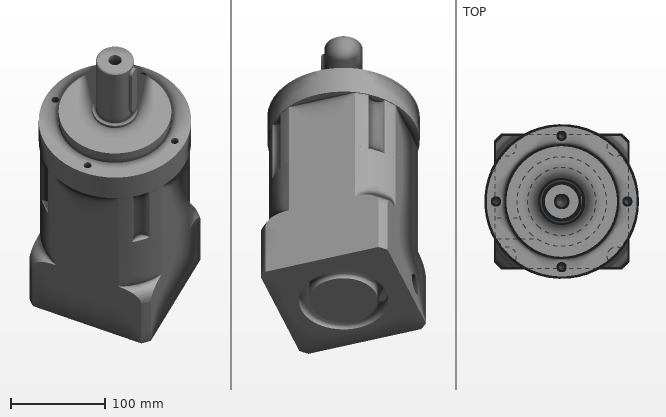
import cadquery as cq
import math

adapter_top = 95.7
ring_top = 148.0
flange_bottom = 222.0
flange_top = 255.2
pilot_top = 270.0
collar_top = 273.5
shaft_top = 352.0

body_width = 142.0
body_corner_diameter = 159.8

base_corner_diameter = 190.0
shoulder_height = 78.5
shoulder_radius = (base_corner_diameter - body_corner_diameter) / 2
clamp_hub_diameter = 72.5
clamp_pocket_diameter = 95.0
clamp_pocket_depth = 63.5
access_hole_diameter = 22.5
access_hole_y = -28.5
access_hole_z = 26.5

flange_diameter = 162.0
pilot_diameter = 119.7
groove_radius = 10.0
groove_offset = 58.0
flange_hole_diameter = 8.5
flange_hole_depth = 20.0
flange_hole_circle_radius = 69.7

shaft_diameter = 40.0
collar_diameter = 48.0
shaft_chamfer = 1.0
center_hole_diameter = 14.0
center_hole_depth = 28.0
key_width = 12.3
key_length = 65.0
key_bottom = 282.0
key_face_x = 23.0

drill_tip_angle = 118


def turned_square(bottom, top):
    """A square bar whose corners are cut back to a cylinder."""
    height = top - bottom
    square = cq.Workplane("XY").workplane(offset=bottom).rect(body_width, body_width).extrude(height)
    cylinder = cq.Workplane("XY").workplane(offset=bottom).circle(body_corner_diameter / 2).extrude(height)
    return square.intersect(cylinder)


def drilled_hole(diameter, depth):
    """A drill-shaped cutter: its mouth is at the origin and its conical tip points down."""
    radius = diameter / 2
    tip_height = radius / math.tan(math.radians(drill_tip_angle / 2))
    return (
        cq.Workplane("XZ")
        .moveTo(0, 0)
        .lineTo(radius, 0)
        .lineTo(radius, -depth)
        .lineTo(0, -depth - tip_height)
        .close()
        .revolve(360, (0, 0), (0, 1))
    )


def make_adapter():
    """Wide base, rounded over at its corners, with a neck that matches the ring gear."""
    base_radius = base_corner_diameter / 2
    neck_radius = body_corner_diameter / 2
    base_profile = (
        cq.Workplane("XZ")
        .moveTo(0, 0)
        .lineTo(base_radius, 0)
        .lineTo(base_radius, shoulder_height - shoulder_radius)
        .radiusArc((neck_radius, shoulder_height), -shoulder_radius)
        .lineTo(neck_radius, adapter_top)
        .lineTo(0, adapter_top)
        .close()
    )
    square = cq.Workplane("XY").rect(body_width, body_width).extrude(adapter_top)
    adapter = base_profile.revolve(360, (0, 0), (0, 1)).intersect(square)

    clamp_pocket = (
        cq.Workplane("XY")
        .circle(clamp_pocket_diameter / 2)
        .circle(clamp_hub_diameter / 2)
        .extrude(clamp_pocket_depth)
    )
    clamp_hub = cq.Workplane("XY").circle(clamp_hub_diameter / 2).extrude(clamp_pocket_depth)
    access_hole = (
        cq.Workplane("YZ")
        .workplane(offset=-body_width / 2)
        .center(access_hole_y, access_hole_z)
        .circle(access_hole_diameter / 2)
        .extrude(body_width / 2)
        .cut(clamp_hub)
    )
    return adapter.cut(clamp_pocket).cut(access_hole)


def make_ring_gear():
    """Plain middle section between the adapter and the housing."""
    return turned_square(adapter_top, ring_top)


def make_housing():
    """Grooved body with a round flange and a centring pilot on top."""
    housing = turned_square(ring_top, flange_bottom)
    grooves = (
        cq.Workplane("XY")
        .workplane(offset=ring_top)
        .rect(2 * groove_offset, 2 * groove_offset, forConstruction=True)
        .vertices()
        .circle(groove_radius)
        .extrude(flange_bottom - ring_top)
    )
    flange = (
        cq.Workplane("XY")
        .workplane(offset=flange_bottom)
        .circle(flange_diameter / 2)
        .extrude(flange_top - flange_bottom)
    )
    pilot = (
        cq.Workplane("XY")
        .workplane(offset=flange_top)
        .circle(pilot_diameter / 2)
        .extrude(pilot_top - flange_top)
    )
    housing = housing.cut(grooves).union(flange).union(pilot)

    hole = drilled_hole(flange_hole_diameter, flange_hole_depth)
    hole = hole.translate((flange_hole_circle_radius, 0, flange_top))
    for angle in (0, 90, 180, 270):
        housing = housing.cut(hole.rotate((0, 0, 0), (0, 0, 1), angle))
    return housing


def make_shaft():
    """Output shaft with a collar at its foot, a key on +X and a drilled centre."""
    collar = (
        cq.Workplane("XY")
        .workplane(offset=pilot_top)
        .circle(collar_diameter / 2)
        .extrude(collar_top - pilot_top)
    )
    shaft = (
        cq.Workplane("XY")
        .workplane(offset=collar_top)
        .circle(shaft_diameter / 2)
        .extrude(shaft_top - collar_top)
        .faces(">Z")
        .chamfer(shaft_chamfer)
    )
    key = (
        cq.Workplane("YZ")
        .center(0, key_bottom + key_length / 2)
        .slot2D(key_length, key_width, 90)
        .extrude(key_face_x)
    )
    center_hole = drilled_hole(center_hole_diameter, center_hole_depth)
    center_hole = center_hole.translate((0, 0, shaft_top))
    return collar.union(shaft).union(key).cut(center_hole)


adapter = make_adapter()
ring_gear = make_ring_gear()
housing = make_housing()
shaft = make_shaft()

result = cq.Compound.makeCompound([adapter.val(), ring_gear.val(), housing.val(), shaft.val()])